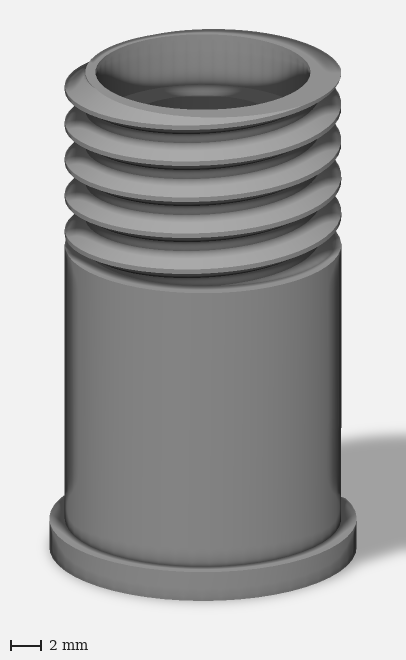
import cadquery as cq
import math

flange_diameter = 20.0
flange_height = 2.0
flange_flat_distance = 9.0

total_height = 33.0
body_diameter = 18.0
thread_length = 12.0
pitch = 2.5

bore_diameter = 10.0
counterbore_diameter = 14.0
counterbore_depth = 3.5

shoulder_height = total_height - thread_length
thread_radius = body_diameter / 2
sharp_height = pitch * math.sqrt(3) / 2
thread_depth = sharp_height * 5 / 8
root_radius = thread_radius - thread_depth
root_flat = pitch / 4
crest_flat = pitch / 8
flank_slope = math.tan(math.radians(30))
groove_overshoot = sharp_height / 16


def make_flange():
    disc = cq.Workplane("XY").circle(flange_diameter / 2).extrude(flange_height)
    flat_trim = (
        cq.Workplane("XY")
        .rect(2 * flange_diameter, flange_diameter)
        .extrude(flange_height)
        .translate((0, flange_flat_distance + flange_diameter / 2, 0))
    )
    return disc.cut(flat_trim)


def make_groove():
    """Right-handed helical groove, clipped to end flat on the shoulder."""
    outer_radius = thread_radius + groove_overshoot
    root_half_width = root_flat / 2
    outer_half_width = root_half_width + (outer_radius - root_radius) * flank_slope

    top_crest_z = total_height - crest_flat / 2
    turns = math.ceil(thread_length / pitch) + 2
    start_z = top_crest_z + 1.5 * pitch - turns * pitch

    helix = cq.Wire.makeHelix(pitch, turns * pitch, root_radius).translate(cq.Vector(0, 0, start_z))
    groove = (
        cq.Workplane("XZ")
        .moveTo(root_radius, start_z - root_half_width)
        .lineTo(outer_radius, start_z - outer_half_width)
        .lineTo(outer_radius, start_z + outer_half_width)
        .lineTo(root_radius, start_z + root_half_width)
        .close()
        .sweep(cq.Workplane(obj=helix), isFrenet=True)
    )
    thread_zone = (
        cq.Workplane("XY", origin=(0, 0, shoulder_height))
        .circle(flange_diameter)
        .extrude(thread_length + pitch)
    )
    return groove.intersect(thread_zone)


def make_bore():
    bore = cq.Workplane("XY").circle(bore_diameter / 2).extrude(total_height)
    counterbore = (
        cq.Workplane("XY", origin=(0, 0, total_height - counterbore_depth))
        .circle(counterbore_diameter / 2)
        .extrude(counterbore_depth)
    )
    return bore.union(counterbore)


def make_body():
    blank = cq.Workplane("XY").circle(body_diameter / 2).extrude(total_height)
    blank = blank.rotate((0, 0, 0), (0, 0, 1), 180)
    return blank.cut(make_groove())


result = make_body().union(make_flange()).cut(make_bore())